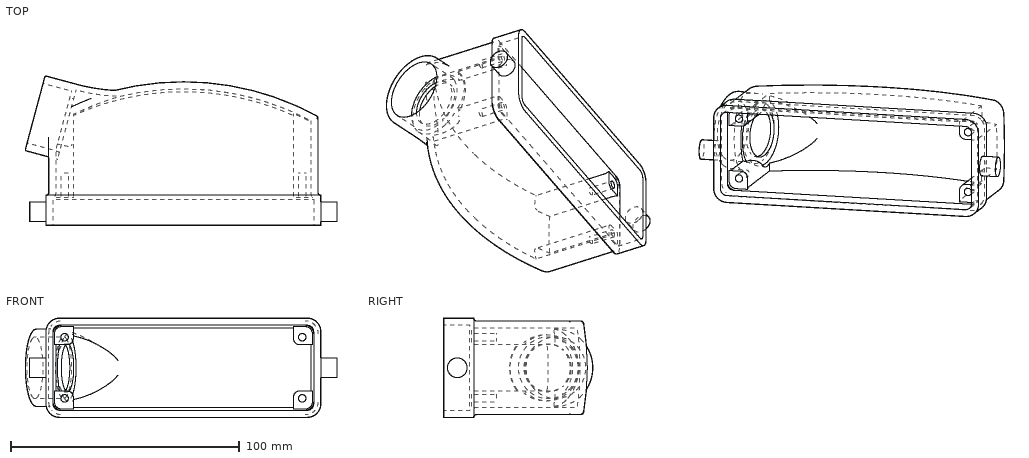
import cadquery as cq
import math


flange_length = 120.3
flange_width = 43.5
flange_height = 13.2
flange_corner_radius = 6.0

hood_inset = 1.2
hood_length = flange_length - 2 * hood_inset
hood_width = flange_width - 2 * hood_inset
hood_corner_radius = 5.6
root_fillet = 1.16
crown_height = 62.9
crown_radius = 121.4
crown_fillet = 1.4

wall = 3.1
mouth_depth = 11.3
ledge_depth = 14.5
mouth_corner_radius = flange_corner_radius - wall
chamber_corner_radius = hood_corner_radius - wall
ledge_overlap = 0.7
roof_height = crown_height - wall
roof_radius = crown_radius - wall

post_base = 12.1
post_inner_x = 48.2
post_inner_z = 10.1
post_corner_radius = 2.7
screw_x = 52.0
screw_z = 13.4
screw_diameter = 3.3
screw_depth = 10.9

nozzle_tilt = 15.0
nozzle_x = -65.0
nozzle_y = 49.1
nozzle_diameter = 34.0
nozzle_bore = 27.0
nozzle_throat = 21.0
nozzle_length = 14.7
nozzle_bore_depth = 13.0
nozzle_rim_fillet = 0.8
nozzle_root_fillet = 0.7
elbow_radius = 95.5
elbow_bore = 28.9

pin_diameter = 8.6
pin_y = 6.0
pin_tip_x = 67.3


def rounded_block(length, width, radius, y_start, y_end):
    """Block along Y, centred in X and Z, with its four long edges rounded."""
    block = cq.Workplane("XZ", origin=(0, y_start, 0)).rect(length, width).extrude(y_start - y_end)
    return block.edges("|Y").fillet(radius)


def dome(pole_height, radius):
    """Ball whose highest point along Y is at pole_height."""
    return cq.Workplane("XZ", origin=(0, pole_height - radius, 0)).sphere(radius)


def nozzle_plane(depth):
    """Plane across the nozzle at a depth below its face, facing into the hood."""
    tilt = math.radians(nozzle_tilt)
    inward = (math.cos(tilt), -math.sin(tilt), 0)
    origin = (nozzle_x + depth * inward[0], nozzle_y + depth * inward[1], 0)
    return cq.Plane(origin=origin, xDir=(math.sin(tilt), math.cos(tilt), 0), normal=inward)


def nozzle_cylinder(diameter, start, end):
    """Cylinder on the nozzle axis between two depths below the nozzle face."""
    return cq.Workplane(nozzle_plane(start)).circle(diameter / 2).extrude(end - start)


def elbow(diameter):
    """Bend that turns from the nozzle axis to the X direction."""
    section = cq.Workplane(nozzle_plane(nozzle_length)).circle(diameter / 2)
    return section.revolve(nozzle_tilt, (elbow_radius, 0), (elbow_radius, 1))


def hood_shell():
    """Flange and hood as a solid form: domed top, rounded crown edge and filleted root."""
    hood = rounded_block(hood_length, hood_width, hood_corner_radius, 0, crown_height)
    hood = hood.intersect(dome(crown_height, crown_radius))
    hood = hood.faces(">Y").edges().fillet(crown_fillet)
    flange = rounded_block(flange_length, flange_width, flange_corner_radius, 0, flange_height)
    reach_x = hood_length / 2 + hood_inset / 2
    reach_z = hood_width / 2 + hood_inset / 2
    root = cq.selectors.BoxSelector(
        (-reach_x, flange_height - 0.1, -reach_z),
        (reach_x, flange_height + 0.1, reach_z),
        boundingbox=True,
    )
    return flange.union(hood).edges(root).fillet(root_fillet)


def ledge_ring(chamber, half_width):
    """Ring around the chamber that flares out to the mouth along an arc tangent to the chamber wall."""
    rise = ledge_depth - mouth_depth
    radius = (rise**2 + hood_inset**2) / (2 * hood_inset)
    half_angle = math.asin(rise / radius) / 2
    arc_middle = (
        ledge_depth - radius * math.sin(half_angle),
        half_width + radius * (1 - math.cos(half_angle)),
    )
    profile = (
        cq.Workplane("YZ")
        .moveTo(mouth_depth, half_width - ledge_overlap)
        .lineTo(mouth_depth, half_width + hood_inset)
        .threePointArc(arc_middle, (ledge_depth, half_width))
        .lineTo(ledge_depth, half_width - ledge_overlap)
        .close()
    )
    return profile.sweep(chamber.faces("<Y").wires())


def cavity():
    """Inside of the flange and hood: a wide mouth, a rounded ledge and a domed chamber."""
    mouth_length = flange_length - 2 * wall
    mouth_width = flange_width - 2 * wall
    chamber_length = hood_length - 2 * wall
    chamber_width = hood_width - 2 * wall
    mouth = rounded_block(mouth_length, mouth_width, mouth_corner_radius, 0, mouth_depth)
    chamber = rounded_block(chamber_length, chamber_width, chamber_corner_radius, 0, roof_height)
    ledge = ledge_ring(chamber, chamber_width / 2)
    chamber = chamber.intersect(dome(roof_height, roof_radius))
    return mouth.union(chamber).union(ledge)


def screw_post(side_x, side_z):
    """Corner post with its exposed edge rounded and a blind screw hole in its end."""
    size_x = flange_length / 2 - wall / 2 - post_inner_x
    size_z = flange_width / 2 - wall / 2 - post_inner_z
    post = (
        cq.Workplane("XZ", origin=(0, post_base, 0))
        .center(post_inner_x + size_x / 2, post_inner_z + size_z / 2)
        .rect(size_x, size_z)
        .extrude(post_base - crown_height)
        .edges("|Y and <X and <Z")
        .fillet(post_corner_radius)
    )
    hole = (
        cq.Workplane("XZ", origin=(0, post_base, 0))
        .center(screw_x, screw_z)
        .circle(screw_diameter / 2)
        .extrude(-screw_depth)
    )
    post = post.cut(hole)
    if side_x < 0:
        post = post.mirror("YZ")
    if side_z < 0:
        post = post.mirror("XY")
    return post


def nozzle():
    """Solid nozzle cylinder with a rounded outer rim."""
    tube = nozzle_cylinder(nozzle_diameter, 0, nozzle_length)
    return tube.faces("<X").edges().fillet(nozzle_rim_fillet)


def make_housing():
    """Hood with its nozzle, hollowed out around the screw posts and bored through the nozzle."""
    outside = hood_shell().union(nozzle().union(elbow(nozzle_diameter)))
    outside = outside.edges("%ELLIPSE").fillet(nozzle_root_fillet)
    space = cavity()
    for side_x in (-1, 1):
        for side_z in (-1, 1):
            space = space.cut(screw_post(side_x, side_z))
    space = space.cut(nozzle_cylinder(nozzle_diameter, 0, nozzle_length))
    housing = outside.cut(space)
    housing = housing.cut(nozzle_cylinder(nozzle_bore, 0, nozzle_bore_depth))
    housing = housing.cut(nozzle_cylinder(nozzle_throat, 0, nozzle_length))
    return housing.cut(elbow(elbow_bore))


def make_pin(side):
    """Round pin standing on one end of the flange."""
    length = pin_tip_x - flange_length / 2
    pin = cq.Workplane("YZ", origin=(side * flange_length / 2, pin_y, 0))
    return pin.circle(pin_diameter / 2).extrude(side * length)


housing = make_housing()
pins = [make_pin(side) for side in (-1, 1)]
result = cq.Compound.makeCompound([housing.val(), *[pin.val() for pin in pins]])